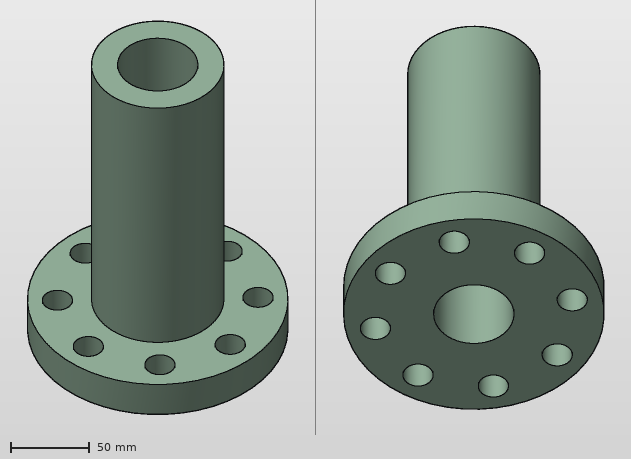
import cadquery as cq

total_height = 222.2

flange_diameter = 165.1
flange_thickness = 25.3

neck_diameter = 84.0
bore_diameter = 51.0

bolt_count = 8
bolt_circle_diameter = 127.1
bolt_hole_diameter = 19.1


def make_flange():
    """Round flange plate drilled with its ring of bolt holes."""
    plate = cq.Workplane("XY").circle(flange_diameter / 2).extrude(flange_thickness)
    return (
        plate.faces(">Z")
        .workplane()
        .polarArray(bolt_circle_diameter / 2, 0, 360, bolt_count)
        .hole(bolt_hole_diameter)
    )


def make_neck():
    """Solid round neck running the full height of the part."""
    return cq.Workplane("XY").circle(neck_diameter / 2).extrude(total_height)


def make_bore():
    """Cylinder that opens the part from end to end."""
    return cq.Workplane("XY").circle(bore_diameter / 2).extrude(total_height)


result = make_flange().union(make_neck()).cut(make_bore())